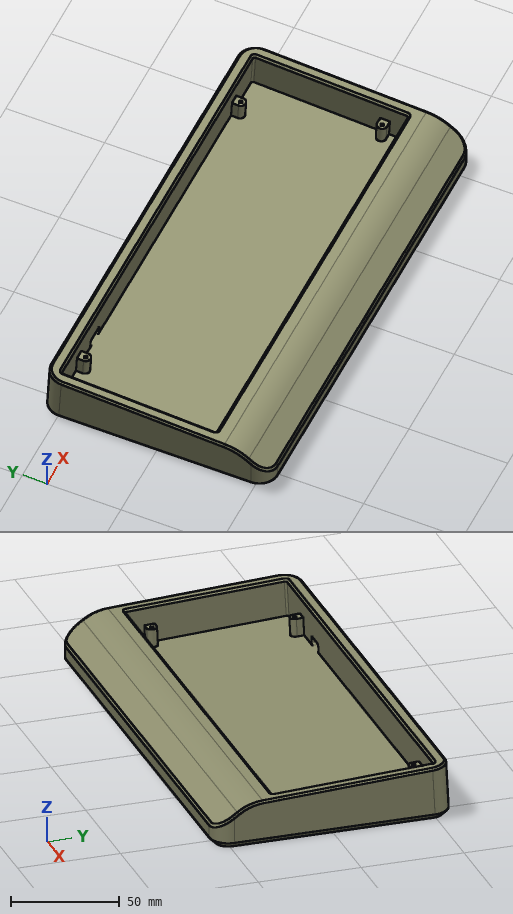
import cadquery as cq
import math

WIDTH = 224.5
DEPTH = 115.9
HEIGHT = 27.0

TILT = 3.0
NOSE_ANGLE = 35.0
NOSE_RADIUS = 23.5
TOP_FRONT_Y = 23.1
CORNER_RADIUS = 9.2
BOTTOM_CHAMFER = 3.1
EDGE_CHAMFER = 1.0

RIM = 6.3
POCKET_BACK = 6.5
POCKET_LENGTH = 78.5
POCKET_DEPTH = 18.6
POCKET_RADIUS = 1.0
MOUTH_CHAMFER = 1.1

POST_DIAMETER = 5.0
POST_HOLE_DIAMETER = 1.6
POST_HEIGHT = 9.0
POST_REACH = 3.4
WEB_OVERLAP = 1.1
BACK_POST_X = 85.5
FRONT_POST_FROM_BACK = 67.1

SLOT_X = -67.4
SLOT_WIDTH = 9.9
SLOT_HEIGHT = 4.5
SLOT_RADIUS = 1.1

tilt = math.radians(TILT)
nose = math.radians(NOSE_ANGLE)

up = cq.Vector(0, -math.sin(tilt), math.cos(tilt))

top_back_z = HEIGHT + EDGE_CHAMFER * math.sin(tilt)
bottom_back_y = DEPTH + BOTTOM_CHAMFER * math.tan(tilt)
top_back_y = bottom_back_y - top_back_z * math.tan(tilt)
top_front_z = top_back_z - (top_back_y - TOP_FRONT_Y) * math.tan(tilt)

arc_centre_y = TOP_FRONT_Y + NOSE_RADIUS * math.sin(tilt)
arc_centre_z = top_front_z - NOSE_RADIUS * math.cos(tilt)


def on_blend(angle):
    """Point of the blend arc whose tangent slopes at the given angle."""
    return (arc_centre_y - NOSE_RADIUS * math.sin(angle), arc_centre_z + NOSE_RADIUS * math.cos(angle))


nose_top_y, nose_top_z = on_blend(nose)
nose_front_z = nose_top_z - nose_top_y * math.tan(nose)


top_plane = cq.Plane(origin=(0, top_back_y, top_back_z), xDir=(1, 0, 0), normal=up.toTuple())

pocket_back_y = -POCKET_BACK
pocket_centre_y = pocket_back_y - POCKET_LENGTH / 2
pocket_half_width = WIDTH / 2 - RIM


def make_shell():
    """Solid wedge with a sloped nose, rounded uprights and chamfered edges."""
    shell = (
        cq.Workplane("YZ")
        .moveTo(0, 0)
        .lineTo(bottom_back_y, 0)
        .lineTo(top_back_y, top_back_z)
        .lineTo(TOP_FRONT_Y, top_front_z)
        .threePointArc(on_blend((tilt + nose) / 2), (nose_top_y, nose_top_z))
        .lineTo(0, nose_front_z)
        .close()
        .extrude(WIDTH / 2, both=True)
    )
    for upright in (cq.Vector(0, 0, 1), up):
        shell = shell.edges(cq.selectors.ParallelDirSelector(upright)).fillet(CORNER_RADIUS)
    shell = shell.faces("<Z").chamfer(BOTTOM_CHAMFER)
    top_face = shell.faces(cq.selectors.DirectionMinMaxSelector(up, True))
    return top_face.edges("<X").chamfer(EDGE_CHAMFER)


def make_pocket():
    """Pocket cutter, square to the top face, with a flared mouth."""
    pocket = (
        cq.Workplane(top_plane)
        .center(0, pocket_centre_y)
        .rect(2 * pocket_half_width, POCKET_LENGTH)
        .extrude(-POCKET_DEPTH)
        .edges(cq.selectors.ParallelDirSelector(up))
        .fillet(POCKET_RADIUS)
    )
    mouth = (
        cq.Workplane(top_plane)
        .workplane(offset=MOUTH_CHAMFER)
        .center(0, pocket_centre_y)
        .rect(2 * (pocket_half_width + MOUTH_CHAMFER), POCKET_LENGTH + 2 * MOUTH_CHAMFER)
        .extrude(-2 * MOUTH_CHAMFER)
        .edges(cq.selectors.ParallelDirSelector(up))
        .fillet(POCKET_RADIUS + MOUTH_CHAMFER)
        .faces(cq.selectors.DirectionMinMaxSelector(up, False))
        .chamfer(MOUTH_CHAMFER)
    )
    return pocket.union(mouth)


def make_post(x, y, wall_angle):
    """Screw post joined by a web to the pocket wall that lies in the direction wall_angle."""
    floor = cq.Workplane(top_plane).workplane(offset=-POCKET_DEPTH).center(x, y)
    turn = math.radians(wall_angle)
    web_length = POST_REACH + WEB_OVERLAP
    web_centre = (web_length / 2 * math.cos(turn), web_length / 2 * math.sin(turn))
    web = (
        floor.center(*web_centre)
        .transformed(rotate=(0, 0, wall_angle))
        .rect(web_length, POST_DIAMETER)
        .extrude(POST_HEIGHT)
    )
    hole = floor.circle(POST_HOLE_DIAMETER / 2).extrude(POST_HEIGHT)
    return floor.circle(POST_DIAMETER / 2).extrude(POST_HEIGHT).union(web).cut(hole)


def make_slot():
    """Cable slot cutter reaching through the back wall."""
    slot_centre_z = -POCKET_DEPTH + SLOT_HEIGHT / 2
    back_plane = cq.Plane(top_plane.origin, xDir=(1, 0, 0), normal=top_plane.yDir.toTuple())
    return (
        cq.Workplane(back_plane)
        .center(SLOT_X, -slot_centre_z)
        .rect(SLOT_WIDTH, SLOT_HEIGHT)
        .extrude(-POCKET_BACK)
        .edges(cq.selectors.ParallelDirSelector(top_plane.yDir))
        .fillet(SLOT_RADIUS)
    )


result = make_shell().cut(make_pocket()).cut(make_slot())

front_post_x = pocket_half_width - POST_REACH
front_post_y = pocket_back_y - FRONT_POST_FROM_BACK
back_post_y = pocket_back_y - POST_REACH
for x, y, wall_angle in (
    (-BACK_POST_X, back_post_y, 90),
    (BACK_POST_X, back_post_y, 90),
    (-front_post_x, front_post_y, 180),
    (front_post_x, front_post_y, 0),
):
    result = result.union(make_post(x, y, wall_angle))